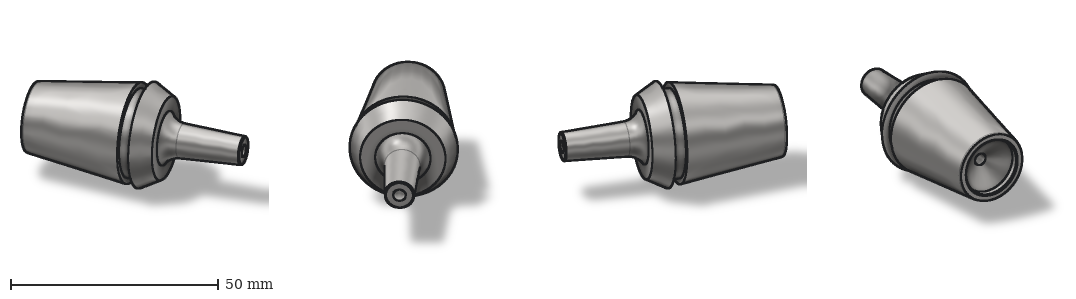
import cadquery as cq
import math

total_length = 54

body_length = 25.9
body_small_radius = 8.9
body_large_radius = 12.5
body_chamfer_length = 0.55
body_chamfer_drop = 0.15

groove_length = 3.1
groove_radius = 11.0
collar_length = 5.1
collar_large_radius = 13.1
collar_small_radius = 10.3

neck_length = 4.05
neck_large_radius = 6.7
stem_large_radius = 4.3
stem_small_radius = 3.55
stem_chamfer = 0.25

bore_radius = 7.15
bore_depth = 1.95
bore_chamfer = 0.25
through_hole_radius = 1.5
bore_floor_half_angle = 60

collar_start = body_length + groove_length
collar_end = collar_start + collar_length
neck_end = collar_end + neck_length
stem_end = total_length - stem_chamfer
floor_depth = (bore_radius - through_hole_radius) / math.tan(math.radians(bore_floor_half_angle))



def revolve_about_x(profile):
    return profile.close().revolve(360, (0, 0, 0), (1, 0, 0))


def make_outside():
    profile = (
        cq.Workplane("XY")
        .moveTo(total_length, 0)
        .lineTo(total_length, stem_small_radius - stem_chamfer)
        .lineTo(stem_end, stem_small_radius)
        .lineTo(neck_end, stem_large_radius)
        .tangentArcPoint((collar_end, neck_large_radius), relative=False)
        .lineTo(collar_end, collar_small_radius)
        .lineTo(collar_start, collar_large_radius)
        .lineTo(collar_start, groove_radius)
        .lineTo(body_length, groove_radius)
        .lineTo(body_length, body_large_radius)
        .lineTo(body_chamfer_length, body_small_radius)
        .lineTo(0, body_small_radius - body_chamfer_drop)
        .lineTo(0, 0)
    )
    return revolve_about_x(profile)


def make_bore():
    profile = (
        cq.Workplane("XY")
        .lineTo(0, bore_radius + bore_chamfer)
        .lineTo(bore_chamfer, bore_radius)
        .lineTo(bore_depth, bore_radius)
        .lineTo(bore_depth + floor_depth, through_hole_radius)
        .lineTo(total_length, through_hole_radius)
        .lineTo(total_length, 0)
    )
    return revolve_about_x(profile)


result = make_outside().cut(make_bore())